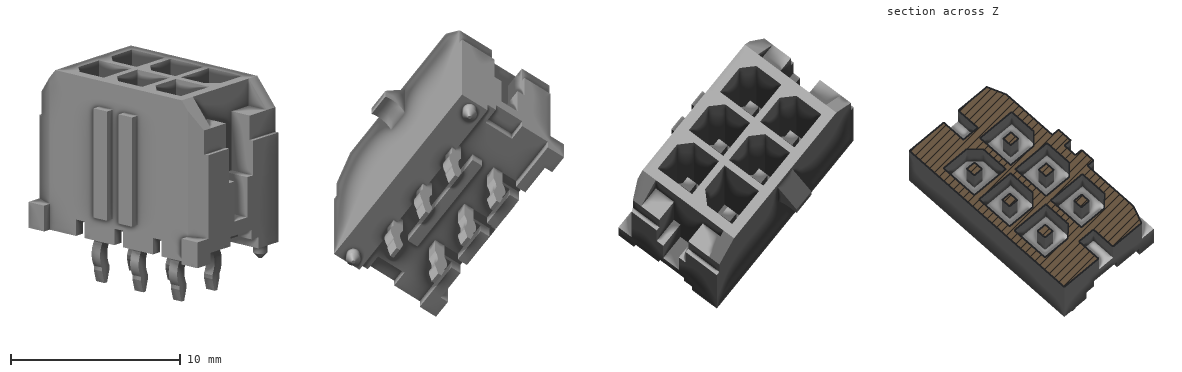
import cadquery as cq


WIDTH = 13.15
HEIGHT = 9.9
FRONT_Y = -3.46
REAR_Y = 3.39
TOP_HALF_WIDTH = 4.92
SHOULDER_HALF_WIDTH = 6.33
SHOULDER_Z = 8.23
STEP_Z = 6.73
CORNER_HALF_WIDTH = 5.39
CORNER_DEPTH = 0.47

TOWER_REAR_Y = 2.62
TOWER_FRONT_Y = -2.46
WIDE_SLOT = (-1.1, 1.07, 4.6)
NARROW_SLOT = (-0.62, 0.55, 2.13)

COLUMNS = 3
PITCH = 3.0
PIN_SIZE = 0.66
CAVITY_SIZE = 2.58
CAVITY_KEY = 0.71
CAVITY_FLOOR_Z = 2.0
CAVITY_SHIFT_Y = -0.03
PIN_TOP_Z = 6.0
PIN_TIP_Z = -3.18
PIN_TIP_WIDTH = 0.24
PIN_TAPER_Z = -2.42
BEND_TOP_Z = -0.68
BEND_BOTTOM_Z = -2.18
BEND_OFFSET = 0.2

UNDERCUT_FRONT_Y = -2.8
UNDERCUT_REAR_Y = 1.55
UNDERCUT_HEIGHT = 0.68
END_POCKET_WIDTH = 1.91
END_POCKET_TOP_Z = 1.26
END_POCKET_DEPTH = 1.05
PIN_NOTCH_HEIGHT = 1.01
SPACER_WIDTH = 0.7

FOOT_INNER_X = 5.35
RAISED_Y = -3.97
FOOT_HEIGHT = 1.59
RIB_WIDTH = 1.04
RIB_SPACING = 1.95
RIB_TOP_Z = 8.31

LATCH_WIDTH = 1.42
LATCH_TIP_Y = 4.8
LATCH_TOP_Z = 9.31
LATCH_TIP_TOP_Z = 7.68
LATCH_TIP_BOTTOM_Z = 6.97
LATCH_ARC_Y = 3.96
LATCH_ARC_Z = 7.0
LATCH_ROOT_Z = 6.47

PEG_DIAMETER = 0.85
PEG_TIP_DIAMETER = 0.21
PEG_X = 5.97
PEG_Y = 2.42
PEG_STRAIGHT = 0.53
PEG_CONE = 0.34

HALF_WIDTH = WIDTH / 2
COLUMN_XS = [(column - (COLUMNS - 1) / 2) * PITCH for column in range(COLUMNS)]
FRONT_ROW_Y = -PITCH / 2
REAR_ROW_Y = PITCH / 2


def box(x_min, x_max, y_min, y_max, z_min, z_max):
    """Axis-aligned block between the given limits."""
    size = (x_max - x_min, y_max - y_min, z_max - z_min)
    return cq.Workplane("XY").box(*size, centered=False).translate((x_min, y_min, z_min))


def both_ends(shape):
    """The shape together with its mirror image at the other X end."""
    return shape.union(shape.mirror("YZ"))


def make_shell():
    """Stepped outline, with sloping shoulders and slanted front corners."""
    outline = [
        (HALF_WIDTH, 0),
        (HALF_WIDTH, STEP_Z),
        (SHOULDER_HALF_WIDTH, STEP_Z),
        (SHOULDER_HALF_WIDTH, SHOULDER_Z),
        (TOP_HALF_WIDTH, HEIGHT),
    ]
    outline += [(-x, z) for x, z in reversed(outline)]
    shell = cq.Workplane("XZ", origin=(0, REAR_Y, 0)).polyline(outline).close().extrude(REAR_Y - FRONT_Y)
    corner = (
        cq.Workplane("XY")
        .polyline([
            (CORNER_HALF_WIDTH, FRONT_Y),
            (HALF_WIDTH, FRONT_Y),
            (HALF_WIDTH, FRONT_Y + CORNER_DEPTH),
        ])
        .close()
        .extrude(HEIGHT)
    )
    return shell.cut(both_ends(corner))


def end_recesses():
    """Gap between the end towers, with a slot that narrows below it."""
    recess = box(TOP_HALF_WIDTH, HALF_WIDTH, TOWER_FRONT_Y, TOWER_REAR_Y, SHOULDER_Z, HEIGHT)
    for y_min, y_max, z_min in (WIDE_SLOT, NARROW_SLOT):
        recess = recess.union(box(TOP_HALF_WIDTH, HALF_WIDTH, y_min, y_max, z_min, HEIGHT))
    return both_ends(recess)


def cavity(x, row_y, key_side):
    """Square contact cavity with one front corner cut off; key_side is -1 for left, 1 for right."""
    half = CAVITY_SIZE / 2
    outline = [
        (-key_side * half, -half),
        (key_side * (half - CAVITY_KEY), -half),
        (key_side * half, CAVITY_KEY - half),
        (key_side * half, half),
        (-key_side * half, half),
    ]
    return (
        cq.Workplane("XY", origin=(x, row_y + CAVITY_SHIFT_Y, CAVITY_FLOOR_Z))
        .polyline(outline)
        .close()
        .extrude(HEIGHT - CAVITY_FLOOR_Z)
    )


def underside_cuts():
    """Undercut across the full width, end pockets, and notches in front of the front pins."""
    cuts = box(-HALF_WIDTH, HALF_WIDTH, UNDERCUT_FRONT_Y, UNDERCUT_REAR_Y, 0, UNDERCUT_HEIGHT)
    half_pocket = END_POCKET_WIDTH / 2
    pocket = box(HALF_WIDTH - END_POCKET_DEPTH, HALF_WIDTH, -half_pocket, half_pocket, 0, END_POCKET_TOP_Z)
    cuts = cuts.union(both_ends(pocket))
    half_pin = PIN_SIZE / 2
    for x in COLUMN_XS:
        cuts = cuts.union(box(x - half_pin, x + half_pin, FRONT_Y, FRONT_ROW_Y, 0, PIN_NOTCH_HEIGHT))
    return cuts


def front_foot():
    """Foot at the right front corner, filling in below the slanted corner."""
    return box(FOOT_INNER_X, HALF_WIDTH, RAISED_Y, UNDERCUT_FRONT_Y, 0, FOOT_HEIGHT)


def front_rib():
    """Upright rib on the front wall, right of the middle."""
    x = RIB_SPACING / 2
    return box(x - RIB_WIDTH / 2, x + RIB_WIDTH / 2, RAISED_Y, FRONT_Y, FOOT_HEIGHT, RIB_TOP_Z)


def latch():
    """Ramp on the rear wall with a hollowed underside."""
    return (
        cq.Workplane("YZ", origin=(-LATCH_WIDTH / 2, 0, 0))
        .moveTo(REAR_Y, LATCH_TOP_Z)
        .lineTo(LATCH_TIP_Y, LATCH_TIP_TOP_Z)
        .lineTo(LATCH_TIP_Y, LATCH_TIP_BOTTOM_Z)
        .threePointArc((LATCH_ARC_Y, LATCH_ARC_Z), (REAR_Y, LATCH_ROOT_Z))
        .close()
        .extrude(LATCH_WIDTH)
    )


def peg():
    """Right-hand locating peg with a conical end."""
    return (
        cq.Workplane("XZ", origin=(PEG_X, PEG_Y, 0))
        .polyline([
            (0, 0),
            (PEG_DIAMETER / 2, 0),
            (PEG_DIAMETER / 2, -PEG_STRAIGHT),
            (PEG_TIP_DIAMETER / 2, -PEG_STRAIGHT - PEG_CONE),
            (0, -PEG_STRAIGHT - PEG_CONE),
        ])
        .close()
        .revolve(360, (0, 0), (0, 1))
    )


def pin(x):
    """Rear-row contact whose tail bows towards the rear and ends in a taper."""
    half = PIN_SIZE / 2
    half_tip = PIN_TIP_WIDTH / 2
    bend_middle_z = (BEND_TOP_Z + BEND_BOTTOM_Z) / 2
    return (
        cq.Workplane("YZ", origin=(x - half, REAR_ROW_Y, 0))
        .moveTo(-half, PIN_TOP_Z)
        .lineTo(-half, BEND_TOP_Z)
        .threePointArc((BEND_OFFSET - half, bend_middle_z), (-half, BEND_BOTTOM_Z))
        .lineTo(-half, PIN_TAPER_Z)
        .lineTo(-half_tip, PIN_TIP_Z)
        .lineTo(half_tip, PIN_TIP_Z)
        .lineTo(half, PIN_TAPER_Z)
        .lineTo(half, BEND_BOTTOM_Z)
        .threePointArc((half + BEND_OFFSET, bend_middle_z), (half, BEND_TOP_Z))
        .lineTo(half, PIN_TOP_Z)
        .close()
        .extrude(PIN_SIZE)
    )


def spacer():
    """Bar under the housing between the pin rows, as long as the pin columns."""
    half_length = COLUMN_XS[-1] + PIN_SIZE / 2
    half_width = SPACER_WIDTH / 2
    return box(-half_length, half_length, -half_width, half_width, 0, UNDERCUT_HEIGHT)


housing = make_shell().cut(end_recesses()).cut(underside_cuts())
housing = housing.union(both_ends(front_foot()))
housing = housing.union(both_ends(front_rib()))
housing = housing.union(latch())
housing = housing.union(both_ends(peg()))
housing = housing.union(spacer())

for x in COLUMN_XS:
    rear_key_side = 1 if x == COLUMN_XS[-1] else -1
    housing = housing.cut(cavity(x, FRONT_ROW_Y, -1))
    housing = housing.cut(cavity(x, REAR_ROW_Y, rear_key_side))

for x in COLUMN_XS:
    rear_pin = pin(x)
    housing = housing.union(rear_pin).union(rear_pin.mirror("XZ"))

result = housing